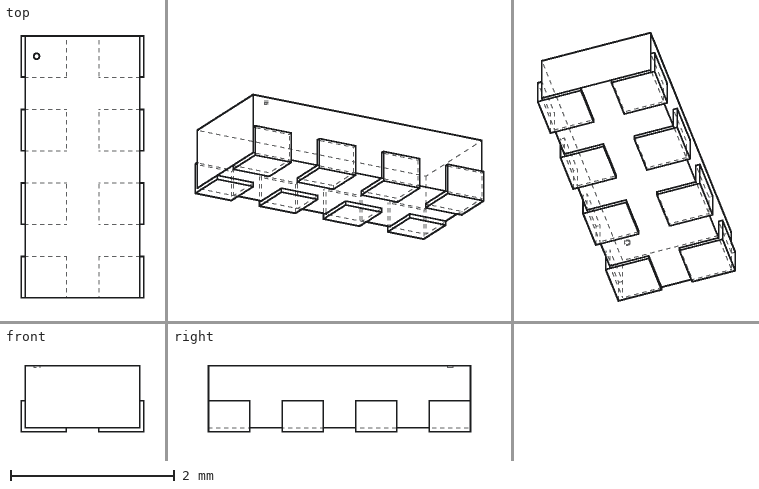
import cadquery as cq

length = 3.2
width = 1.5
height = 0.81

plate = 0.05
terminal_height = 0.385
foot_length = 0.555
terminal_width = 0.505
terminals_per_side = 4
terminal_pitch = (length - terminal_width) / (terminals_per_side - 1)

mark_diameter = 0.07
mark_depth = 0.02
mark_x = -0.56
mark_y = 1.35

housing_width = width - 2 * plate
housing_height = height - plate


def make_housing():
    """Rectangular block with a shallow round recess that holds the mark."""
    block = (
        cq.Workplane("XY")
        .workplane(offset=plate)
        .rect(housing_width, length)
        .extrude(housing_height)
    )
    return block.cut(make_mark())


def make_terminal(side, y_center):
    """L-shaped terminal; side is -1 for the -X edge and +1 for the +X edge."""
    outer = side * width / 2
    wall_inner = side * (width / 2 - plate)
    foot_end = side * (width / 2 - foot_length)
    profile = [
        (outer, 0),
        (outer, terminal_height),
        (wall_inner, terminal_height),
        (wall_inner, plate),
        (foot_end, plate),
        (foot_end, 0),
    ]
    return (
        cq.Workplane("XZ", origin=(0, y_center, 0))
        .polyline(profile)
        .close()
        .extrude(terminal_width / 2, both=True)
    )


def make_mark():
    """Round pin-one mark near the -X, +Y corner."""
    return (
        cq.Workplane("XY", origin=(mark_x, mark_y, height))
        .circle(mark_diameter / 2)
        .extrude(-mark_depth)
    )


housing = make_housing()
mark = make_mark()

first_terminal_y = (terminal_width - length) / 2
terminals = []
for side in (-1, 1):
    for index in range(terminals_per_side):
        terminal = make_terminal(side, first_terminal_y + index * terminal_pitch)
        terminals.append(terminal.val())

result = cq.Compound.makeCompound([housing.val(), mark.val(), *terminals])